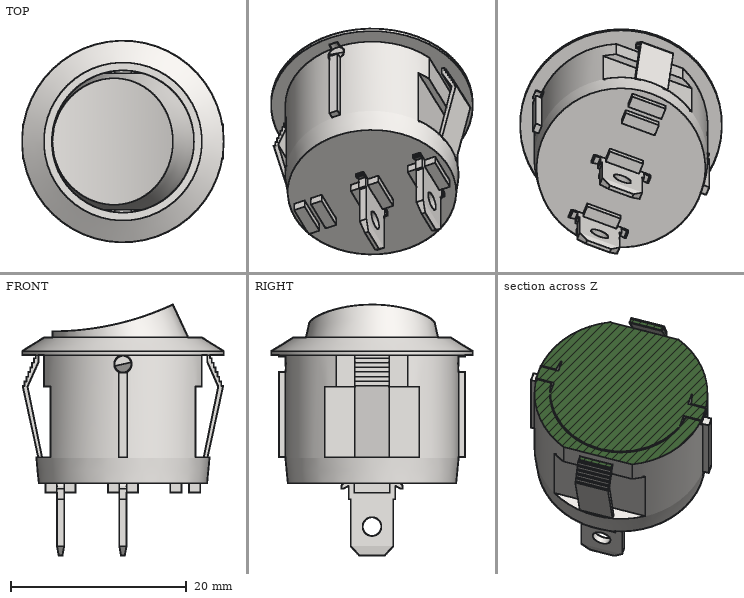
import cadquery as cq
import math


FLANGE_DIA = 23.0
FLANGE_RIM_HEIGHT = 0.45
FLANGE_HEIGHT = 2.0
FLANGE_TOP_DIA = 18.0
OPENING_DIA = 16.2
OPENING_FLOOR_Z = -2.5

BODY_RADIUS = 9.88
BASE_TOP_Z = -11.72
BASE_BOTTOM_Z = -14.63
BASE_BOTTOM_RADIUS = 9.6
RECESS_FLOOR_Z = -11.63
UPPER_FLAT_X = 9.0
LOWER_FLAT_X = 8.27
FLAT_STEP_Z = -3.6

RIB_WIDTH = 1.0
RIB_OUTER_Y = 10.6

PIVOT_Z = -1.04
PIVOT_HOLE_DIA = 2.0
PIN_DIA = 1.9
PIN_END_Y = BODY_RADIUS
PIN_CHAMFER_ANGLE = 40.0
TILT = 12.5
ROCKER_HEIGHT = 5.41
ROCKER_TOP_RADIUS = 7.03
ROCKER_FLAT_Y = 7.75
ROCKER_DEPTH = 4.0
ROCKER_OVERLAP = 0.2

CLIP_WIDTH = 3.9
CLIP_TOP_X = 9.93
CLIP_TOP_INNER_X = 9.6
CLIP_BEND_Z = -0.8
CLIP_KNEE_INNER_X = 10.85
CLIP_FOOT_OUTER_X = 9.66
CLIP_FOOT_INNER_X = 9.2
TOOTH_COUNT = 7
FIRST_TOOTH_Z = -0.34
TOOTH_PITCH = 0.53
TOOTH_STEP = 0.214

TERMINAL_SPACING = 7.1
TERMINAL_THICKNESS = 0.84
TERMINAL_HALF_WIDTH = 2.44
SHOULDER_HALF_WIDTH = 2.66
SHOULDER_Z = -16.43
TERMINAL_TIP_Z = -22.84
TIP_LENGTH = 1.07
TIP_HALF_WIDTH = 1.45
TIP_THICKNESS = 0.45
TERMINAL_HOLE_DIA = 2.1
TERMINAL_HOLE_Z = -19.54
BARB_ROOT_Z = -14.92
BARB_TIP_Y = 3.5
BARB_TIP_Z = -15.25
BARB_BACK_Y = 3.22
BARB_TIP_WIDTH = 0.2
BARB_BACK_END_Z = -15.0
BLOCK_LENGTH = 4.06
BLOCK_HEIGHT = 1.05
BLOCK_OUTER_WIDTH = 3.44
BLOCK_SLOT_WIDTH = 0.8

SIDES = (-1, 1)


def box(x_range, y_range, z_range):
    """Axis-aligned block spanning the given ranges."""
    size = [high - low for low, high in (x_range, y_range, z_range)]
    corner = (x_range[0], y_range[0], z_range[0])
    return cq.Workplane("XY").box(*size, centered=False).translate(corner)


def y_cylinder(diameter, half_length):
    """Cylinder along Y, centred on the origin."""
    return cq.Workplane("XZ").circle(diameter / 2).extrude(half_length, both=True)


def make_housing():
    """Flange, round body and tapered base, with the rocker opening cut into the top."""
    profile = [
        (0, BASE_BOTTOM_Z),
        (BASE_BOTTOM_RADIUS, BASE_BOTTOM_Z),
        (BODY_RADIUS, BASE_TOP_Z),
        (BODY_RADIUS, 0),
        (FLANGE_DIA / 2, 0),
        (FLANGE_DIA / 2, FLANGE_RIM_HEIGHT),
        (FLANGE_TOP_DIA / 2, FLANGE_HEIGHT),
        (0, FLANGE_HEIGHT),
    ]
    housing = cq.Workplane("XZ").polyline(profile).close().revolve(360, (0, 0, 0), (0, 1, 0))
    opening = (
        cq.Workplane("XY")
        .workplane(offset=OPENING_FLOOR_Z)
        .circle(OPENING_DIA / 2)
        .extrude(FLANGE_HEIGHT - OPENING_FLOOR_Z)
    )
    return housing.cut(opening)


def cut_flats(housing):
    """Two-step flats on the +X and -X sides, behind the spring clips."""
    reach = FLANGE_DIA / 2
    for side in SIDES:
        for flat_x, top_z in ((UPPER_FLAT_X, 0), (LOWER_FLAT_X, FLAT_STEP_Z)):
            x_range = sorted((side * flat_x, side * reach))
            housing = housing.cut(box(x_range, (-reach, reach), (RECESS_FLOOR_Z, top_z)))
    return housing


def add_ribs(housing):
    """Upright ribs on the +Y and -Y sides."""
    inner_y = BODY_RADIUS - RIB_WIDTH
    for side in SIDES:
        y_range = sorted((side * inner_y, side * RIB_OUTER_Y))
        rib = box((-RIB_WIDTH / 2, RIB_WIDTH / 2), y_range, (RECESS_FLOOR_Z, 0))
        housing = housing.union(rib)
    return housing


def cut_pivot_holes(housing):
    """Pivot bore across the housing, through both ribs."""
    bore = y_cylinder(PIVOT_HOLE_DIA, FLANGE_DIA / 2).translate((0, 0, PIVOT_Z))
    return housing.cut(bore)


def make_pivot_pins():
    """Pivot pins with the lower half of each end sloped inwards, in the rocker's own frame."""
    pins = y_cylinder(PIN_DIA, PIN_END_Y)
    drop = PIN_DIA
    inset = drop * math.tan(math.radians(PIN_CHAMFER_ANGLE))
    for side in SIDES:
        end_y = side * PIN_END_Y
        wedge = (
            cq.Workplane("YZ")
            .polyline([(end_y, 0), (end_y, -drop), (end_y - side * inset, -drop)])
            .close()
            .extrude(PIN_DIA, both=True)
        )
        pins = pins.cut(wedge)
    return pins


def make_rocker():
    """Dished conical rocker with its pivot pins, tilted about the pivot."""
    slope = math.tan(math.radians(TILT))
    foot_radius = ROCKER_TOP_RADIUS + (ROCKER_HEIGHT + ROCKER_DEPTH) * slope
    profile = [
        (0, -ROCKER_DEPTH),
        (foot_radius, -ROCKER_DEPTH),
        (ROCKER_TOP_RADIUS, ROCKER_HEIGHT),
        (0, ROCKER_HEIGHT),
    ]
    rocker = cq.Workplane("XZ").polyline(profile).close().revolve(360, (0, 0, 0), (0, 1, 0))

    dish_radius = ROCKER_TOP_RADIUS / math.sin(math.radians(TILT))
    dish_axis_z = ROCKER_HEIGHT + dish_radius * math.cos(math.radians(TILT))
    rocker = rocker.cut(y_cylinder(2 * dish_radius, BODY_RADIUS).translate((0, 0, dish_axis_z)))

    reach = 2 * BODY_RADIUS
    rocker = rocker.intersect(box((-reach, reach), (-ROCKER_FLAT_Y, ROCKER_FLAT_Y), (-reach, reach)))
    rocker = rocker.union(make_pivot_pins())
    rocker = rocker.rotate((0, 0, 0), (0, 1, 0), -TILT).translate((0, 0, PIVOT_Z))

    foot_z = OPENING_FLOOR_Z - ROCKER_OVERLAP
    keep = (
        cq.Workplane("XY")
        .workplane(offset=foot_z)
        .circle(OPENING_DIA / 2 + ROCKER_OVERLAP)
        .extrude(reach)
    )
    keep = keep.union(box((-PIN_DIA, PIN_DIA), (-reach, reach), (foot_z, 0)))
    return rocker.intersect(keep)


def make_clip(side):
    """Bent spring clip with a staircase of teeth on its upper leg."""
    outer_x = CLIP_TOP_X
    outline = [(CLIP_TOP_INNER_X, CLIP_BEND_Z), (CLIP_TOP_INNER_X, 0), (outer_x, 0)]
    for tooth in range(TOOTH_COUNT):
        tooth_z = FIRST_TOOTH_Z - tooth * TOOTH_PITCH
        outline.append((outer_x, tooth_z))
        outer_x += TOOTH_STEP
        outline.append((outer_x, tooth_z))
    outline += [
        (CLIP_FOOT_OUTER_X, RECESS_FLOOR_Z),
        (CLIP_FOOT_INNER_X, RECESS_FLOOR_Z),
        (CLIP_KNEE_INNER_X, FLAT_STEP_Z),
    ]
    points = [(side * x, z) for x, z in outline]
    return cq.Workplane("XZ").polyline(points).close().extrude(CLIP_WIDTH / 2, both=True)


def make_terminal():
    """Blade terminal with shoulders, barbs, a cross hole and a tapered tip, centred on X = 0."""
    tip_start_z = TERMINAL_TIP_Z + TIP_LENGTH
    half_thickness = TERMINAL_THICKNESS / 2
    root_z = BASE_TOP_Z
    half_outline = [
        (SHOULDER_HALF_WIDTH, root_z),
        (SHOULDER_HALF_WIDTH, SHOULDER_Z),
        (TERMINAL_HALF_WIDTH, SHOULDER_Z),
        (TERMINAL_HALF_WIDTH, tip_start_z),
        (TIP_HALF_WIDTH, TERMINAL_TIP_Z),
    ]
    outline = half_outline + [(-y, z) for y, z in reversed(half_outline)]
    blade = cq.Workplane("YZ").polyline(outline).close().extrude(half_thickness, both=True)

    back_run = BARB_TIP_Y - BARB_BACK_Y
    back_drop = BASE_BOTTOM_Z - BARB_BACK_END_Z
    back_radius = (back_run**2 + back_drop**2) / (2 * back_run)
    for side in SIDES:
        barb = (
            cq.Workplane("YZ")
            .moveTo(side * TERMINAL_HALF_WIDTH, BASE_BOTTOM_Z)
            .lineTo(side * BARB_BACK_Y, BASE_BOTTOM_Z)
            .radiusArc((side * BARB_TIP_Y, BARB_BACK_END_Z), side * back_radius)
            .lineTo(side * BARB_TIP_Y, BARB_TIP_Z)
            .lineTo(side * (BARB_TIP_Y - BARB_TIP_WIDTH), BARB_TIP_Z)
            .lineTo(side * SHOULDER_HALF_WIDTH, BARB_ROOT_Z)
            .lineTo(side * TERMINAL_HALF_WIDTH, BARB_ROOT_Z)
            .close()
            .extrude(half_thickness, both=True)
        )
        blade = blade.union(barb)

    hole = (
        cq.Workplane("YZ")
        .center(0, TERMINAL_HOLE_Z)
        .circle(TERMINAL_HOLE_DIA / 2)
        .extrude(half_thickness, both=True)
    )
    edge_profile = [
        (half_thickness, root_z),
        (half_thickness, tip_start_z),
        (TIP_THICKNESS / 2, TERMINAL_TIP_Z),
        (-TIP_THICKNESS / 2, TERMINAL_TIP_Z),
        (-half_thickness, tip_start_z),
        (-half_thickness, root_z),
    ]
    taper = cq.Workplane("XZ").polyline(edge_profile).close().extrude(BODY_RADIUS, both=True)
    return blade.cut(hole).intersect(taper)


def make_guide_blocks():
    """Pair of blocks under the base, either side of one terminal slot, centred on X = 0."""
    half_length = BLOCK_LENGTH / 2
    half_width = BLOCK_OUTER_WIDTH / 2
    half_slot = BLOCK_SLOT_WIDTH / 2
    y_range = (-half_length, half_length)
    z_range = (BASE_BOTTOM_Z - BLOCK_HEIGHT, BASE_BOTTOM_Z)
    left = box((-half_width, -half_slot), y_range, z_range)
    right = box((half_slot, half_width), y_range, z_range)
    return left.union(right)


def build():
    part = cut_pivot_holes(add_ribs(cut_flats(make_housing())))
    part = part.union(make_rocker())
    for side in SIDES:
        part = part.union(make_clip(side))
    for slot in (-1, 0, 1):
        part = part.union(make_guide_blocks().translate((slot * TERMINAL_SPACING, 0, 0)))
    for slot in (-1, 0):
        part = part.union(make_terminal().translate((slot * TERMINAL_SPACING, 0, 0)))
    return part


result = build()